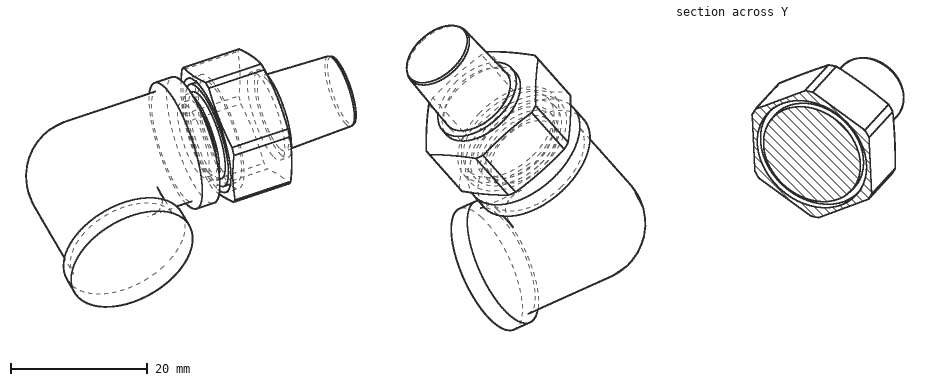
import cadquery as cq
import math


pipe_radius = 17.0 / 2
flange_radius = 19.5 / 2
flange_thickness = 2.8
arm_length = 17.5
flange_fillet = 0.45
inner_corner_fillet = 0.8

neck_radius = 11.55 / 2
lower_collar_radius = 13.4 / 2
upper_collar_radius = 13.6 / 2
neck_length = 1.3
lower_collar_length = 0.9
nut_length = 9.45
upper_collar_length = 1.1
thread_length = 11.0

lower_collar_start = arm_length + neck_length
nut_start = lower_collar_start + lower_collar_length
nut_end = nut_start + nut_length
thread_start = nut_end + upper_collar_length
thread_end = thread_start + thread_length

thread_taper = 1 / 16
thread_tip_radius = neck_radius - thread_length * thread_taper / 2
thread_chamfer = 0.35
thread_chamfer_inset = 0.15

nut_sides = 6
nut_across_flats = 18.95
nut_corner_radius = 21.2 / 2
nut_twist = 2.6
nut_chamfer_length = 0.25

groove_outer_radius = 17.6 / 2
groove_inner_radius = 15.75 / 2
groove_depth = 2.05


def revolve_about_y(profile):
    """Solid of revolution from (radius, y) points, closed along the Y axis."""
    points = [(0, profile[0][1]), *profile, (0, profile[-1][1])]
    return cq.Workplane("XY").polyline(points).close().revolve(360, (0, 0), (0, 1))


def make_arm_y():
    """Flanged pipe along +Y with a concave fillet under the flange."""
    flange_back = arm_length - flange_thickness
    arc_offset = flange_fillet * (1 - math.sqrt(0.5))
    return (
        cq.Workplane("XY")
        .lineTo(pipe_radius, 0)
        .lineTo(pipe_radius, flange_back - flange_fillet)
        .threePointArc(
            (pipe_radius + arc_offset, flange_back - arc_offset),
            (pipe_radius + flange_fillet, flange_back),
        )
        .lineTo(flange_radius, flange_back)
        .lineTo(flange_radius, arm_length)
        .lineTo(0, arm_length)
        .close()
        .revolve(360, (0, 0), (0, 1))
    )


def make_elbow():
    """Two arms at a right angle, with a round outer corner and a filleted inner one."""
    arm_y = make_arm_y()
    arm_x = arm_y.rotate((0, 0, 0), (0, 0, 1), -90)
    elbow = arm_y.union(arm_x).union(cq.Workplane("XY").sphere(pipe_radius))
    inner_corner = cq.selectors.BoxSelector(
        (0, 0, -pipe_radius), (pipe_radius, pipe_radius, pipe_radius)
    )
    return elbow.edges("%ELLIPSE").edges(inner_corner).fillet(inner_corner_fillet)


def make_nut():
    """Hexagonal prism with rounded corners and chamfered ends."""
    hexagon = (
        cq.Workplane("XZ", origin=(0, nut_start, 0))
        .polygon(nut_sides, nut_across_flats / math.cos(math.pi / nut_sides))
        .extrude(-nut_length)
        .rotate((0, 0, 0), (0, 1, 0), 90 - nut_twist)
    )
    chamfered_round = revolve_about_y([
        (nut_across_flats / 2, nut_start),
        (nut_corner_radius, nut_start + nut_chamfer_length),
        (nut_corner_radius, nut_end - nut_chamfer_length),
        (nut_across_flats / 2, nut_end),
    ])
    return hexagon.intersect(chamfered_round)


def make_groove():
    """Ring of material removed between the nut's rim and its core."""
    return (
        cq.Workplane("XZ", origin=(0, nut_start, 0))
        .circle(groove_outer_radius)
        .circle(groove_inner_radius)
        .extrude(-groove_depth)
    )


def make_union():
    """Neck, collars and tapered thread blank, all in one piece with the nut."""
    stem = revolve_about_y([
        (neck_radius, arm_length),
        (neck_radius, lower_collar_start),
        (lower_collar_radius, lower_collar_start),
        (lower_collar_radius, nut_start),
        (upper_collar_radius, nut_start),
        (upper_collar_radius, thread_start),
        (neck_radius, thread_start),
        (thread_tip_radius, thread_end - thread_chamfer),
        (thread_tip_radius - thread_chamfer_inset, thread_end),
    ])
    return stem.union(make_nut()).cut(make_groove())


elbow = make_elbow()
threaded_union = make_union()
result = cq.Compound.makeCompound([elbow.val(), threaded_union.val()])